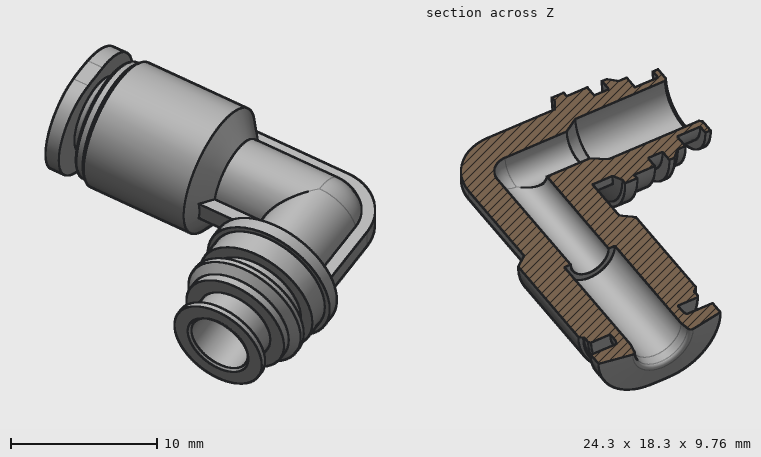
import cadquery as cq


pipe_radius = 2.99
passage_radius = 1.5
rib_reach = 3.8
rib_thickness = 1.5

inlet_cone_start = 6.63
inlet_cone_end = 8.0
inlet_body_radius = 4.7
inlet_body_end = 16.24
inlet_body_chamfer = 0.25
inlet_ring_radius = 4.4
inlet_ring_end = 16.92
inlet_ring_chamfer = 0.15
inlet_stem_radius = 2.72
inlet_stem_root_radius = 2.82
inlet_stem_root_length = 0.32

collar_length = 9.75
collar_width = 7.86
collar_back = 17.89
collar_rim = 18.95
collar_front = 19.4

inlet_bore_radius = 4.0 / 2
inlet_bore_floor = 9.7
inlet_taper_radius = 4.25 / 2
inlet_taper_depth = 0.92
inlet_mouth_rounding = 0.3

outlet_cone_start = 4.93
shoulder_radius = 4.5
outlet_cone_radius = shoulder_radius
flange_radius = 4.88
flange_start = 5.75
flange_end = 6.72
shoulder_end = 8.37
groove_radius = 7.15 / 2
groove_end = 9.51
barb_straight_end = 9.93
barb_taper_end = 10.53
barb_nose_radius = 3.9
barb_end = 11.16
outlet_stem_radius = 2.82
lip_start = 12.98
lip_radius = 3.5
outlet_end = 13.42

outlet_bore_radius = 4.5 / 2
outlet_cone_mouth = 6.07
outlet_bore_floor = 4.93
outlet_mouth_radius = 2.43
outlet_mouth_depth = 0.2


def turned_inlet(profile):
    """Revolve (distance, radius) points about the inlet axis."""
    points = [(-distance, radius) for distance, radius in profile]
    return cq.Workplane("XY").polyline(points).close().revolve(360, (0, 0), (1, 0))


def turned_outlet(profile):
    """Revolve (distance, radius) points about the outlet axis."""
    points = [(radius, -distance) for distance, radius in profile]
    return cq.Workplane("XY").polyline(points).close().revolve(360, (0, 0), (0, 1))


def make_rib():
    """L-shaped plate around the elbow, rounded on its outer corner."""
    inlet_stop = -inlet_cone_end
    outlet_stop = -flange_end
    return (
        cq.Workplane("XY", origin=(0, 0, -rib_thickness / 2))
        .moveTo(inlet_stop, rib_reach)
        .lineTo(0, rib_reach)
        .radiusArc((rib_reach, 0), rib_reach)
        .lineTo(rib_reach, outlet_stop)
        .lineTo(-rib_reach, outlet_stop)
        .lineTo(-rib_reach, -rib_reach)
        .lineTo(inlet_stop, -rib_reach)
        .close()
        .extrude(rib_thickness)
    )


def make_inlet():
    return turned_inlet([
        (0, 0),
        (0, pipe_radius),
        (inlet_cone_start, pipe_radius),
        (inlet_cone_end, inlet_body_radius),
        (inlet_body_end - inlet_body_chamfer, inlet_body_radius),
        (inlet_body_end, inlet_body_radius - inlet_body_chamfer),
        (inlet_body_end, inlet_ring_radius),
        (inlet_ring_end - inlet_ring_chamfer, inlet_ring_radius),
        (inlet_ring_end, inlet_ring_radius - inlet_ring_chamfer),
        (inlet_ring_end, inlet_stem_radius),
        (collar_back - inlet_stem_root_length, inlet_stem_radius),
        (collar_back, inlet_stem_root_radius),
        (collar_back, 0),
    ])


def make_collar():
    """Oval plate whose front face is a shallow cone."""
    oval = (
        cq.Workplane("YZ", origin=(-collar_front, 0, 0))
        .slot2D(collar_length, collar_width)
        .extrude(collar_front - collar_back)
    )
    coned_disc = turned_inlet([
        (collar_back, 0),
        (collar_back, collar_length / 2),
        (collar_rim, collar_length / 2),
        (collar_front, inlet_taper_radius + inlet_mouth_rounding),
        (collar_front, 0),
    ])
    return oval.intersect(coned_disc)


def make_outlet():
    return turned_outlet([
        (0, 0),
        (0, pipe_radius),
        (outlet_cone_start, pipe_radius),
        (flange_start, outlet_cone_radius),
        (flange_start, flange_radius),
        (flange_end, flange_radius),
        (flange_end, shoulder_radius),
        (shoulder_end, shoulder_radius),
        (shoulder_end, groove_radius),
        (groove_end, groove_radius),
        (groove_end, shoulder_radius),
        (barb_straight_end, shoulder_radius),
        (barb_taper_end, barb_nose_radius),
        (barb_end, barb_nose_radius),
        (barb_end, outlet_stem_radius),
        (lip_start, outlet_stem_radius),
        (lip_start, lip_radius),
        (outlet_end, lip_radius),
        (outlet_end, 0),
    ])


def make_passage():
    """Flow passage: stepped bores from both ends meeting in a rounded elbow."""
    inlet_bore = (
        cq.Workplane("XY")
        .polyline([
            (0, 0),
            (0, passage_radius),
            (-inlet_bore_floor, passage_radius),
            (-inlet_bore_floor, inlet_bore_radius),
            (inlet_taper_depth - collar_front, inlet_bore_radius),
            (inlet_mouth_rounding - collar_front, inlet_taper_radius),
        ])
        .radiusArc(
            (-collar_front, inlet_taper_radius + inlet_mouth_rounding), inlet_mouth_rounding
        )
        .lineTo(-collar_front, 0)
        .close()
        .revolve(360, (0, 0), (1, 0))
    )
    outlet_bore = turned_outlet([
        (0, 0),
        (0, passage_radius),
        (outlet_bore_floor, passage_radius),
        (outlet_cone_mouth, outlet_bore_radius),
        (outlet_end - outlet_mouth_depth, outlet_bore_radius),
        (outlet_end, outlet_mouth_radius),
        (outlet_end, 0),
    ])
    return inlet_bore.union(outlet_bore).union(cq.Workplane("XY").sphere(passage_radius))


elbow_corner = cq.Workplane("XY").sphere(pipe_radius)
body = make_inlet().union(make_outlet()).union(elbow_corner)
body = body.union(make_rib()).union(make_collar())
result = body.cut(make_passage())